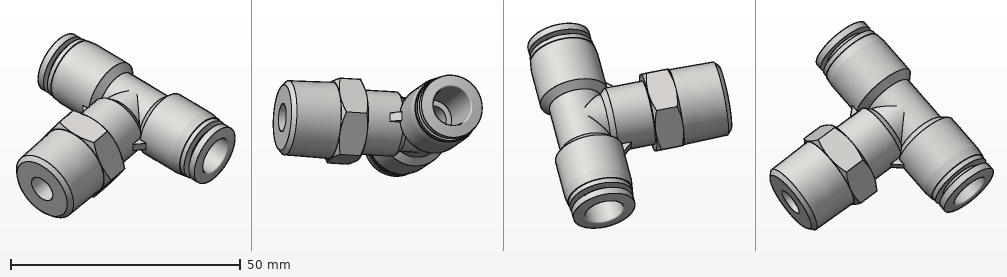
import cadquery as cq
import math

run_half_length = 22.6
collar_radius = 6.9
collar_cone_length = 0.35
collar_inner_x = 20.65
neck_radius = 4.95
body_end_x = 19.45
lip_radius = 7.05
lip_x = 18.3
taper_end_radius = 7.25
body_taper_x = 16.25
body_radius = 7.5
shoulder_x = 7.3
shoulder_inner_x = 5.75
core_radius = 5.88

stem_radius = 7.05
stem_cone_start = 5.3
stem_cone_end = 6.55
hex_start = 14.9
hex_end = 21.05
hex_flats = 17.0
hex_chamfer_angle = 30.0
thread_root_radius = 8.35
thread_tip_radius = 8.15
thread_chamfer_start = 31.05
thread_face_radius = 7.15
branch_length = 32.0

gusset_thickness = 1.9
gusset_tip = 9.6
gusset_outer_x = 9.0

bore_radius = 3.05
socket_radius = 4.3
socket_mouth_radius = 4.6
socket_depth = run_half_length - shoulder_x


def make_run():
    """Revolve the right half about X and mirror it to the left."""
    half = (
        cq.Workplane("XY")
        .polyline([
            (0, 0),
            (0, core_radius),
            (shoulder_inner_x, core_radius),
            (shoulder_x, body_radius),
            (body_taper_x, body_radius),
            (lip_x, taper_end_radius),
            (lip_x, lip_radius),
            (body_end_x, lip_radius),
            (body_end_x, neck_radius),
            (collar_inner_x, neck_radius),
            (collar_inner_x, collar_radius),
            (run_half_length - collar_cone_length, collar_radius),
            (run_half_length, socket_mouth_radius),
            (run_half_length, 0),
        ])
        .close()
        .revolve(360, (0, 0, 0), (1, 0, 0))
    )
    return half.union(half.mirror("YZ"))


def revolve_branch(profile):
    """Revolve (radius, distance from the run axis) points about the branch axis."""
    points = [(radius, -distance) for radius, distance in profile]
    return cq.Workplane("XY").polyline(points).close().revolve(360, (0, 0, 0), (0, 1, 0))


def make_branch():
    return revolve_branch([
        (0, 0),
        (core_radius, 0),
        (core_radius, stem_cone_start),
        (stem_radius, stem_cone_end),
        (stem_radius, hex_end),
        (thread_root_radius, hex_end),
        (thread_tip_radius, thread_chamfer_start),
        (thread_face_radius, branch_length),
        (0, branch_length),
    ])


def make_hexagon():
    """Hexagon with flats facing Z, its corners trimmed by a cone at both ends."""
    flat_radius = hex_flats / 2
    corner_radius = flat_radius / math.cos(math.pi / 6)
    chamfer_length = (corner_radius - flat_radius) * math.tan(math.radians(hex_chamfer_angle))
    prism = (
        cq.Workplane("XZ", origin=(0, -hex_start, 0))
        .polygon(6, 2 * corner_radius)
        .extrude(hex_end - hex_start)
    )
    envelope = revolve_branch([
        (0, hex_start),
        (flat_radius, hex_start),
        (corner_radius, hex_start + chamfer_length),
        (corner_radius, hex_end - chamfer_length),
        (flat_radius, hex_end),
        (0, hex_end),
    ])
    return prism.intersect(envelope)


def make_gussets():
    """Both corner webs as one plate through the stem, sloped at each side."""
    return (
        cq.Workplane("XY")
        .polyline([
            (-gusset_outer_x, -core_radius),
            (gusset_outer_x, -core_radius),
            (gusset_outer_x, -body_radius),
            (stem_radius, -gusset_tip),
            (-stem_radius, -gusset_tip),
            (-gusset_outer_x, -body_radius),
        ])
        .close()
        .extrude(gusset_thickness / 2, both=True)
    )


def make_socket(side):
    """Tube socket with a rounded mouth; side is +1 or -1 along X."""
    mouth_round = socket_mouth_radius - socket_radius
    arc_offset = mouth_round * (1 - math.sqrt(0.5))
    floor_x = side * (run_half_length - socket_depth)
    end_x = side * run_half_length
    return (
        cq.Workplane("XY")
        .moveTo(floor_x, 0)
        .lineTo(floor_x, socket_radius)
        .lineTo(end_x - side * mouth_round, socket_radius)
        .threePointArc(
            (end_x - side * arc_offset, socket_radius + arc_offset),
            (end_x, socket_mouth_radius),
        )
        .lineTo(end_x, 0)
        .close()
        .revolve(360, (0, 0, 0), (1, 0, 0))
    )


run_bore = (
    cq.Workplane("YZ", origin=(-run_half_length, 0, 0))
    .circle(bore_radius)
    .extrude(2 * run_half_length)
)
branch_bore = cq.Workplane("XZ").circle(bore_radius).extrude(branch_length)

result = make_run().union(make_branch()).union(make_hexagon()).union(make_gussets())
result = result.cut(run_bore).cut(branch_bore)
for side in (-1, 1):
    result = result.cut(make_socket(side))